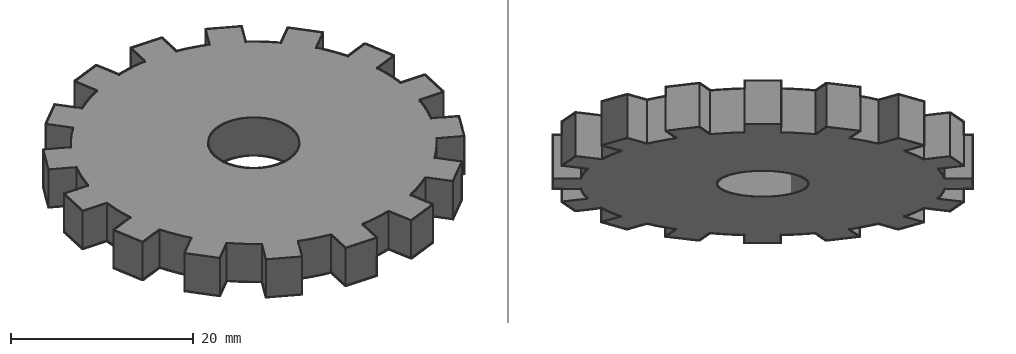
import cadquery as cq

tip_to_tip = 46.0
body_diameter = 40.0
bore_diameter = 10.0
thickness = 5.0
tooth_width = 4.0
tooth_count = 16


def make_body():
    """Round disc that carries the teeth."""
    return cq.Workplane("XY").circle(body_diameter / 2).extrude(thickness)


def make_tooth_pair():
    """Straight bar across the disc; its two flat ends are opposite teeth."""
    return cq.Workplane("XY").rect(tip_to_tip, tooth_width).extrude(thickness)


wheel = make_body()

tooth_pitch_angle = 360.0 / tooth_count
for index in range(tooth_count // 2):
    bar = make_tooth_pair().rotate((0, 0, 0), (0, 0, 1), index * tooth_pitch_angle)
    wheel = wheel.union(bar)

wheel = wheel.clean()
result = wheel.faces(">Z").workplane(origin=(0, 0, 0)).circle(bore_diameter / 2).cutThruAll()